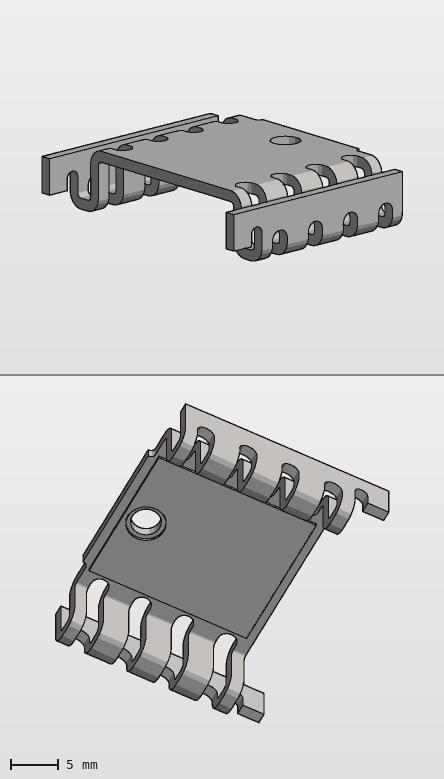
import cadquery as cq
import math

total_width = 29.8
total_height = 7.0
sheet = 1.2
bend_inner = 0.5
bend_outer = bend_inner + sheet
channel_width = 4.4
body_length = 20.0

fin_height = 6.2
fin_overhang = 4.0
fin_tip_bottom = 2.2

tab_width = 15.0
tab_depth = 0.6
tab_corner = 0.5

hole_diameter = 3.21
hole_from_rear = 3.0

slot_count = 4
slot_pitch = 5.0
first_slot_from_rear = 1.4
front_slot_extra = 0.1
slot_width = 2.0
slot_inner_x = 8.5
slot_fin_top = 3.2
relief_width = 1.5
relief_top = 4.2

pad_width = 16.0
pad_end_margin = 1.0
pad_thickness = 0.3
pad_hole_diameter = 4.21

half_width = total_width / 2
fin_inner_x = half_width - sheet
wall_inner_x = half_width - channel_width
wall_outer_x = wall_inner_x + sheet
plate_bottom = total_height - sheet
rear_y = body_length / 2
front_y = -body_length / 2
hole_y = rear_y - hole_from_rear
pad_length = body_length + tab_depth - 2 * pad_end_margin
pad_center_y = tab_depth / 2


def bent_sheet():
    """Plate, side walls, channel floors and fins as one bent section along Y."""
    return (
        cq.Workplane("XZ", origin=(0, rear_y, 0))
        .moveTo(0, total_height)
        .lineTo(wall_outer_x - bend_outer, total_height)
        .radiusArc((wall_outer_x, total_height - bend_outer), bend_outer)
        .lineTo(wall_outer_x, sheet + bend_inner)
        .radiusArc((wall_outer_x + bend_inner, sheet), -bend_inner)
        .lineTo(fin_inner_x - bend_inner, sheet)
        .radiusArc((fin_inner_x, sheet + bend_inner), -bend_inner)
        .lineTo(fin_inner_x, fin_height)
        .lineTo(half_width, fin_height)
        .lineTo(half_width, bend_outer)
        .radiusArc((half_width - bend_outer, 0), bend_outer)
        .lineTo(wall_inner_x + bend_outer, 0)
        .radiusArc((wall_inner_x, bend_outer), bend_outer)
        .lineTo(wall_inner_x, plate_bottom - bend_inner)
        .radiusArc((wall_inner_x - bend_inner, plate_bottom), -bend_inner)
        .lineTo(0, plate_bottom)
        .mirrorY()
        .extrude(body_length)
    )


def rear_tab():
    """Tab on the rear plate edge, blended into that edge by concave corners."""
    half_tab = tab_width / 2
    foot_x = half_tab + tab_corner
    return (
        cq.Workplane("XY", origin=(0, rear_y, plate_bottom))
        .moveTo(-foot_x, -sheet)
        .lineTo(-foot_x, 0)
        .radiusArc((-half_tab, tab_corner), -tab_corner)
        .lineTo(-half_tab, tab_depth)
        .lineTo(half_tab, tab_depth)
        .lineTo(half_tab, tab_corner)
        .radiusArc((foot_x, 0), -tab_corner)
        .lineTo(foot_x, -sheet)
        .close()
        .extrude(sheet)
    )


def fin_tip(side):
    """Fin extension past the front of the body, with a round-topped relief notch."""
    tip_x = side * (fin_inner_x + half_width) / 2
    tip = cq.Workplane("XY").box(
        sheet, fin_overhang, fin_height - fin_tip_bottom, centered=(True, False, False)
    ).translate((tip_x, front_y - fin_overhang, fin_tip_bottom))
    return tip.cut(fin_notch(side, front_y - relief_width, relief_width, 0, relief_top))


def round_ended_slot(plane, y_start, radius, tip_flat, mouth, tip):
    """Slot outline, square at its mouth; its tip is two round corners around an optional flat."""
    y_end = y_start + 2 * radius + tip_flat
    shoulder = tip + math.copysign(radius, mouth - tip)
    arc_radius = math.copysign(radius, tip - mouth)
    outline = (
        plane.moveTo(y_start, mouth)
        .lineTo(y_start, shoulder)
        .radiusArc((y_start + radius, tip), arc_radius)
    )
    if tip_flat > 0:
        outline = outline.lineTo(y_end - radius, tip)
    return outline.radiusArc((y_end, shoulder), arc_radius).lineTo(y_end, mouth).close()


def fin_notch(side, y_start, width, tip_flat, top):
    """Cutter through one fin, open at the bottom and rounded at the top."""
    start_x = fin_inner_x if side > 0 else -half_width
    plane = cq.Workplane("YZ", origin=(start_x, 0, 0))
    return round_ended_slot(plane, y_start, width / 2, tip_flat, 0, top).extrude(sheet)


def channel_slot(side, y_start, tip_flat):
    """Cutter through plate edge, wall and channel floor, rounded at its inner end."""
    plane = cq.Workplane(cq.Plane(origin=(0, 0, 0), xDir=(0, 1, 0), normal=(0, 0, -1)))
    outline = round_ended_slot(
        plane, y_start, slot_width / 2, tip_flat, side * fin_inner_x, side * slot_inner_x
    )
    return outline.extrude(-total_height)


def make_heatsink():
    body = bent_sheet().union(rear_tab())
    for side in (-1, 1):
        body = body.union(fin_tip(side))
        for index in range(slot_count):
            tip_flat = front_slot_extra if index == slot_count - 1 else 0
            y_start = rear_y - first_slot_from_rear - index * slot_pitch - slot_width - tip_flat
            body = body.cut(channel_slot(side, y_start, tip_flat))
            body = body.cut(fin_notch(side, y_start, slot_width, tip_flat, slot_fin_top))
    hole = (
        cq.Workplane("XY", origin=(0, hole_y, plate_bottom))
        .circle(hole_diameter / 2)
        .extrude(sheet)
    )
    return body.cut(hole)


def make_thermal_pad():
    """Flat pad on the plate underside with a clearance hole around the plate hole."""
    return (
        cq.Workplane("XY", origin=(0, pad_center_y, plate_bottom - pad_thickness))
        .rect(pad_width, pad_length)
        .extrude(pad_thickness)
        .cut(
            cq.Workplane("XY", origin=(0, hole_y, plate_bottom - pad_thickness))
            .circle(pad_hole_diameter / 2)
            .extrude(pad_thickness)
        )
    )


heatsink = make_heatsink()
thermal_pad = make_thermal_pad()
result = cq.Compound.makeCompound([heatsink.solids().val(), thermal_pad.solids().val()])